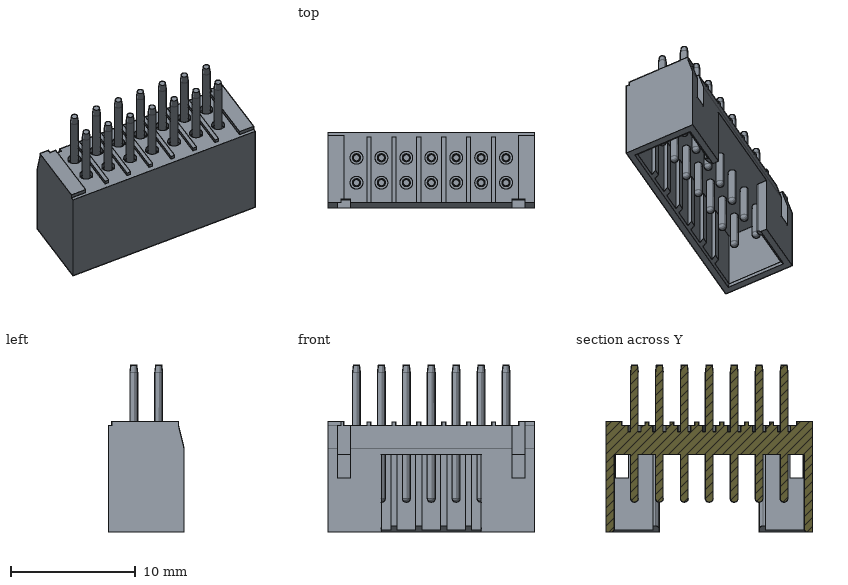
import cadquery as cq
import math

LENGTH = 16.6
DEPTH = 6.1
DECK_HEIGHT = 8.57
HALF_LENGTH = LENGTH / 2
WALL = 0.68
CEILING_HEIGHT = 6.22

SLOPE_RUN = 0.45
SLOPE_FOOT_HEIGHT = 6.72

COLUMNS = 7
COLUMN_SPAN = 12.0
PITCH = COLUMN_SPAN / (COLUMNS - 1)
ROWS = 2
PIN_DIAMETER = 0.65
PIN_RADIUS = PIN_DIAMETER / 2
PIN_TOP = 13.4
TIP_LENGTH = 0.6
TIP_RADIUS = 0.25
DOME_START_HEIGHT = 2.72
RECESS_DIAMETER = 1.03
RECESS_DEPTH = 0.5

DIVIDER_WIDTH = 0.33
DIVIDER_HEIGHT = 0.28
DIVIDER_BACK_GAP = 0.4
PAD_LENGTH = 1.3
PAD_HEIGHT = 0.33
PAD_BACK_GAP = 0.27

RIB_WIDTH = 0.5
RIB_DEPTH = 0.33
EDGE_RIB_RADIUS = 0.3
LEAD_IN = 0.17
LEAD_IN_ANGLE = 45

WINDOW_WIDTH = 4 * PITCH
SLOT_CENTRE = 7.0
SLOT_WIDTH = 1.03
SLOT_DEPTH = 0.73
SLOT_FLOOR_HEIGHT = 4.35
LEFT_PAD_NOTCH_START = -7.24

HALF_WINDOW = WINDOW_WIDTH / 2
RIB_REACH = WALL + RIB_DEPTH
COLUMN_XS = [(i - (COLUMNS - 1) / 2) * PITCH for i in range(COLUMNS)]
GAP_XS = [x + PITCH / 2 for x in COLUMN_XS[:-1]]
ROW_YS = [DEPTH / 2 + (i - (ROWS - 1) / 2) * PITCH for i in range(ROWS)]


def block(x0, x1, y0, y1, z0, z1):
    """Box given by its limits along each axis."""
    return cq.Workplane("XY").box(x1 - x0, y1 - y0, z1 - z0, centered=False).translate((x0, y0, z0))


def make_shell():
    """Housing with a sloped front edge and a cavity open at the bottom."""
    profile = [
        (0, 0),
        (DEPTH, 0),
        (DEPTH, DECK_HEIGHT),
        (SLOPE_RUN, DECK_HEIGHT),
        (0, SLOPE_FOOT_HEIGHT),
    ]
    shell = cq.Workplane("YZ").polyline(profile).close().extrude(HALF_LENGTH, both=True)
    inner = HALF_LENGTH - WALL
    return shell.cut(block(-inner, inner, WALL, DEPTH - WALL, 0, CEILING_HEIGHT))


def make_cavity_ribs():
    """Back-wall ribs between the pin columns and rounded front ribs beside the window."""
    ribs = cq.Workplane("XY")
    for x in GAP_XS:
        x0 = x - RIB_WIDTH / 2
        ribs = ribs.add(block(x0, x0 + RIB_WIDTH, DEPTH - RIB_REACH, DEPTH - WALL, 0, CEILING_HEIGHT))
    right = block(HALF_WINDOW, HALF_WINDOW + RIB_WIDTH, 0, RIB_REACH, 0, CEILING_HEIGHT)
    right = right.edges("|Z and <X and >Y").fillet(EDGE_RIB_RADIUS)
    return ribs.add(right).add(right.mirror("YZ")).combine()


def make_lead_in():
    """Frustum that bevels the cavity mouth and the rib ends at 45 degrees."""
    mouth_offset = WALL - LEAD_IN
    height = LEAD_IN + RIB_DEPTH
    return (
        cq.Workplane("XY")
        .center(0, DEPTH / 2)
        .rect(LENGTH - 2 * mouth_offset, DEPTH - 2 * mouth_offset)
        .extrude(height, taper=LEAD_IN_ANGLE)
    )


def make_dividers():
    """Low bars across the deck between neighbouring pin columns."""
    bars = cq.Workplane("XY")
    top = DECK_HEIGHT + DIVIDER_HEIGHT
    for x in GAP_XS:
        x0 = x - DIVIDER_WIDTH / 2
        bars = bars.add(block(x0, x0 + DIVIDER_WIDTH, SLOPE_RUN, DEPTH - DIVIDER_BACK_GAP, DECK_HEIGHT, top))
    return bars.combine()


def make_pad(x0, notch_start, notch_end):
    """End pad on the deck, notched where the slot passes."""
    top = DECK_HEIGHT + PAD_HEIGHT
    pad = block(x0, x0 + PAD_LENGTH, SLOPE_RUN, DEPTH - PAD_BACK_GAP, DECK_HEIGHT, top)
    return pad.cut(block(notch_start, notch_end, 0, SLOT_DEPTH, DECK_HEIGHT, top))


def make_front_slot(x_centre):
    """Latch slot in the front wall, open at the top."""
    x0 = x_centre - SLOT_WIDTH / 2
    return block(x0, x0 + SLOT_WIDTH, 0, SLOT_DEPTH, SLOT_FLOOR_HEIGHT, DECK_HEIGHT)


def make_pin():
    """Round pin with a domed lower end and a tapered upper tip."""
    shoulder = PIN_TOP - TIP_LENGTH
    dome_drop = PIN_RADIUS * math.cos(math.pi / 4)
    return (
        cq.Workplane("XZ")
        .moveTo(0, DOME_START_HEIGHT - PIN_RADIUS)
        .threePointArc((dome_drop, DOME_START_HEIGHT - dome_drop), (PIN_RADIUS, DOME_START_HEIGHT))
        .lineTo(PIN_RADIUS, shoulder)
        .lineTo(TIP_RADIUS, PIN_TOP)
        .lineTo(0, PIN_TOP)
        .close()
        .revolve(360, (0, 0, 0), (0, 1, 0))
    )


pin_places = [(x, y) for x in COLUMN_XS for y in ROW_YS]
slot_inner = SLOT_CENTRE - SLOT_WIDTH / 2
slot_outer = SLOT_CENTRE + SLOT_WIDTH / 2

body = make_shell().union(make_cavity_ribs()).cut(make_lead_in())
body = body.cut(block(-HALF_WINDOW, HALF_WINDOW, 0, RIB_REACH, 0, CEILING_HEIGHT))
for centre in (-SLOT_CENTRE, SLOT_CENTRE):
    body = body.cut(make_front_slot(centre))
recesses = (
    cq.Workplane("XY", origin=(0, 0, DECK_HEIGHT))
    .pushPoints(pin_places)
    .circle(RECESS_DIAMETER / 2)
    .extrude(-RECESS_DEPTH)
)
body = body.cut(recesses)

body = body.union(make_dividers())
body = body.union(make_pad(-HALF_LENGTH, LEFT_PAD_NOTCH_START, -slot_inner))
body = body.union(make_pad(HALF_LENGTH - PAD_LENGTH, slot_inner, slot_outer))

pin = make_pin()
for x, y in pin_places:
    body = body.union(pin.translate((x, y, 0)))

result = body